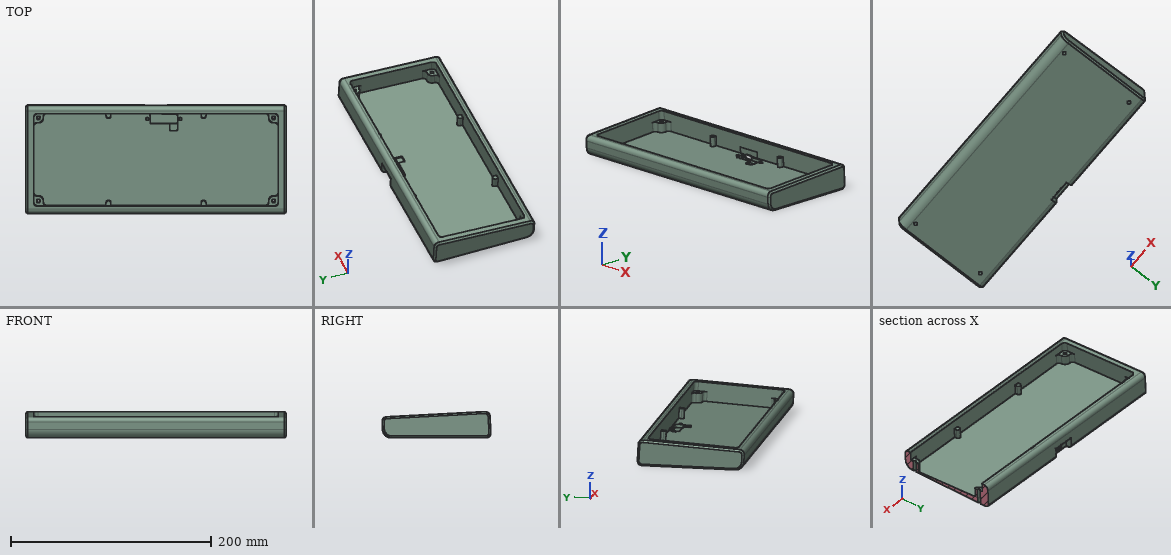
import cadquery as cq
import math

TILT = 3.0
LENGTH = 260.6
DEPTH = 108.19
FRONT_HEIGHT = 21.0
BACK_HEIGHT = FRONT_HEIGHT + DEPTH * math.tan(math.radians(TILT))

TOP_FILLET = 5.0
BACK_BOTTOM_FILLET = 5.0
FRONT_BOTTOM_FILLET = 9.0
END_CHAMFER = 2.0

END_RIM = 8.1
FRONT_RIM = 7.7
BACK_RIM = 8.0
CAVITY_LENGTH = LENGTH - 2 * END_RIM
CAVITY_FRONT = FRONT_RIM
CAVITY_BACK = DEPTH - BACK_RIM
CAVITY_DEPTH = 19.5
CAVITY_CORNER_RADIUS = 3.8
CAVITY_MID_Y = (CAVITY_FRONT + CAVITY_BACK) / 2
FLOOR_Z = -CAVITY_DEPTH

POST_HEIGHT = 10.0
POST_TOP_Z = FLOOR_Z + POST_HEIGHT
BOSS_INSET = 4.6
BOSS_RADIUS = 5.0
BOSS_BLEND_RADIUS = 3.5
SCREW_HOLE_DIAMETER = 3.3

SUPPORT_WIDTH = 5.0
SUPPORT_REACH = 5.0
SUPPORT_X = 47.5

BOARD_CENTER_X = 7.8
BOARD_LENGTH = 27.5
BOARD_WIDTH = 9.2
BOARD_WALL_GAP = 1.6
BOARD_POCKET_DEPTH = 3.5
BOARD_CORNER_RADIUS = 1.2
TAB_LENGTH = 8.0
TAB_WIDTH = 7.0
TAB_POCKET_DEPTH = 1.5
BOARD_SCREW_SPACING = 33.0
BOARD_SCREW_DIAMETER = 2.8
BOARD_SCREW_FROM_WALL = 6.2
BOARD_SCREW_DEPTH = 3.5

PORT_WIDTH = 9.5
PORT_HEIGHT = 4.3
PORT_Z = FLOOR_Z - 1.9
CLEARANCE_WIDTH = 12.4
CLEARANCE_TOP_Z = FLOOR_Z + 2.0
WEB_THICKNESS = 1.0
PLUG_RECESS_WIDTH = 23.8
PLUG_RECESS_TOP_Z = FLOOR_Z + 6.0
PLUG_RECESS_DEPTH = 7.0


def rounded_block(x, y, z_low, z_high, size_x, size_y, radius):
    """Upright block centred at x, y with rounded vertical corners."""
    block = cq.Workplane("XY", origin=(x, y, z_low)).rect(size_x, size_y).extrude(z_high - z_low)
    return block.edges("|Z").fillet(radius)


def make_shell():
    outline = [(0, 0), (DEPTH, 0), (DEPTH, -BACK_HEIGHT), (0, -FRONT_HEIGHT)]
    body = cq.Workplane("YZ").polyline(outline).close().extrude(LENGTH / 2, both=True)
    body = body.edges("|X and >Z").fillet(TOP_FILLET)
    back_bottom_edge = cq.selectors.NearestToPointSelector((0, DEPTH, -BACK_HEIGHT))
    body = body.edges(back_bottom_edge).fillet(BACK_BOTTOM_FILLET)
    front_bottom_edge = cq.selectors.NearestToPointSelector((0, 0, -FRONT_HEIGHT))
    body = body.edges(front_bottom_edge).fillet(FRONT_BOTTOM_FILLET)
    return body.faces("<X or >X").chamfer(END_CHAMFER)


def make_cavity():
    return rounded_block(
        0, CAVITY_MID_Y, FLOOR_Z, 0, CAVITY_LENGTH, CAVITY_BACK - CAVITY_FRONT, CAVITY_CORNER_RADIUS
    )


def make_boss():
    """Front left corner boss, filling the corner out to a round nose."""
    corner_x = -CAVITY_LENGTH / 2
    corner_y = CAVITY_FRONT
    overlap = CAVITY_CORNER_RADIUS
    blend_run = math.sqrt((BOSS_RADIUS + BOSS_BLEND_RADIUS) ** 2 - (BOSS_INSET - BOSS_BLEND_RADIUS) ** 2)
    blend_end = BOSS_INSET + blend_run
    share = BOSS_RADIUS / (BOSS_RADIUS + BOSS_BLEND_RADIUS)
    touch_far = BOSS_INSET + blend_run * share
    touch_near = BOSS_INSET + (BOSS_BLEND_RADIUS - BOSS_INSET) * share
    diagonal = BOSS_INSET + BOSS_RADIUS * math.sqrt(0.5)
    return (
        cq.Workplane("XY", origin=(corner_x, corner_y, FLOOR_Z))
        .moveTo(-overlap, -overlap)
        .lineTo(blend_end, -overlap)
        .lineTo(blend_end, 0)
        .radiusArc((touch_far, touch_near), BOSS_BLEND_RADIUS)
        .threePointArc((diagonal, diagonal), (touch_near, touch_far))
        .radiusArc((0, blend_end), BOSS_BLEND_RADIUS)
        .lineTo(-overlap, blend_end)
        .close()
        .extrude(POST_HEIGHT)
    )


def make_support(x):
    """Front wall support post: straight sides and a round nose."""
    half = SUPPORT_WIDTH / 2
    return (
        cq.Workplane("XY", origin=(x, CAVITY_FRONT, FLOOR_Z))
        .moveTo(-half, -half)
        .lineTo(half, -half)
        .lineTo(half, SUPPORT_REACH - half)
        .threePointArc((0, SUPPORT_REACH), (-half, SUPPORT_REACH - half))
        .close()
        .extrude(POST_HEIGHT)
    )


def mirrored_to_back(solid):
    return solid.mirror("XZ", (0, CAVITY_MID_Y, 0))


def add_posts(body):
    boss = make_boss()
    front_posts = [boss, boss.mirror("YZ"), make_support(-SUPPORT_X), make_support(SUPPORT_X)]
    for post in front_posts:
        body = body.union(post).union(mirrored_to_back(post))
    return body


def cut_screw_holes(body):
    hole_x = CAVITY_LENGTH / 2 - BOSS_INSET
    for x in (-hole_x, hole_x):
        for y in (CAVITY_FRONT + BOSS_INSET, CAVITY_BACK - BOSS_INSET):
            hole = cq.Workplane("XY", origin=(x, y, POST_TOP_Z)).circle(SCREW_HOLE_DIAMETER / 2)
            body = body.cut(hole.extrude(-BACK_HEIGHT))
    return body


def cut_board_pocket(body):
    pocket_back = CAVITY_BACK - BOARD_WALL_GAP
    pocket_z = FLOOR_Z - BOARD_POCKET_DEPTH
    board_y = pocket_back - BOARD_WIDTH / 2
    board = rounded_block(
        BOARD_CENTER_X, board_y, pocket_z, FLOOR_Z, BOARD_LENGTH, BOARD_WIDTH, BOARD_CORNER_RADIUS
    )
    tab_x = BOARD_CENTER_X + (BOARD_LENGTH - TAB_LENGTH) / 2
    tab_size_y = TAB_WIDTH + BOARD_WIDTH / 2
    tab_y = board_y - tab_size_y / 2
    tab = rounded_block(
        tab_x, tab_y, FLOOR_Z - TAB_POCKET_DEPTH, FLOOR_Z, TAB_LENGTH, tab_size_y, BOARD_CORNER_RADIUS
    )
    body = body.cut(board).cut(tab)
    for side in (-1, 1):
        x = BOARD_CENTER_X + side * BOARD_SCREW_SPACING / 2
        hole = cq.Workplane("XY", origin=(x, CAVITY_BACK - BOARD_SCREW_FROM_WALL, FLOOR_Z))
        body = body.cut(hole.circle(BOARD_SCREW_DIAMETER / 2).extrude(-BOARD_SCREW_DEPTH))
    return body


def block_through_wall(width, z_low, z_high, y_front, y_back):
    """Block centred on X = 0 between two heights and two distances from the front face."""
    plan = cq.Workplane("XY", origin=(0, (y_front + y_back) / 2, z_low))
    return plan.rect(width, y_back - y_front).extrude(z_high - z_low)


def cut_port(body):
    recess_y = DEPTH - PLUG_RECESS_DEPTH
    web_y = recess_y - WEB_THICKNESS
    pocket_back = CAVITY_BACK - BOARD_WALL_GAP
    clearance_low = FLOOR_Z - BOARD_POCKET_DEPTH
    clearance = block_through_wall(
        CLEARANCE_WIDTH, clearance_low, CLEARANCE_TOP_Z, pocket_back - BOARD_CORNER_RADIUS, web_y
    )
    recess = block_through_wall(PLUG_RECESS_WIDTH, -BACK_HEIGHT, PLUG_RECESS_TOP_Z, recess_y, DEPTH)
    port = cq.Workplane("XZ", origin=(0, recess_y, PORT_Z)).slot2D(PORT_WIDTH, PORT_HEIGHT)
    return body.cut(clearance).cut(recess).cut(port.extrude(WEB_THICKNESS))


case = make_shell().cut(make_cavity())
case = add_posts(case)
case = cut_screw_holes(case)
case = cut_board_pocket(case)
case = cut_port(case)

upright_front_height = FRONT_HEIGHT * math.cos(math.radians(TILT))
result = case.rotate((0, 0, 0), (1, 0, 0), TILT).translate((0, 0, upright_front_height))